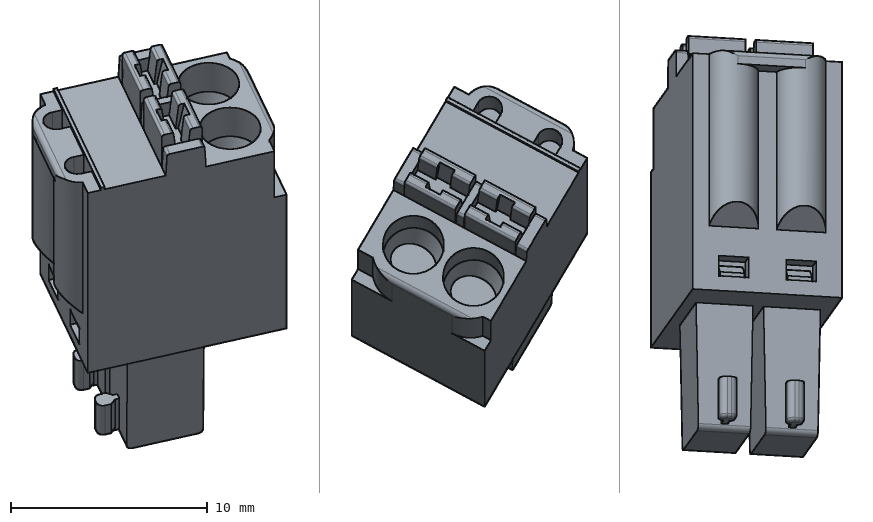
import cadquery as cq
import math


POLE_PITCH = 3.5
POLES = (-POLE_PITCH / 2, POLE_PITCH / 2)

BODY_WIDTH = 7.75
BODY_DEPTH = 10.63
BODY_HEIGHT = 12.5
EDGE_ROUND = 0.3

COVER_REACH = 1.05
BARREL_RADIUS = 1.3
BARREL_AXIS_Y = BARREL_RADIUS - COVER_REACH
BARREL_LOW_Z = 3.4
PLATE_THICKNESS = 0.74

SLOT_WIDTH = 1.3
SLOT_ARC_Y = 0.15
SLOT_DEPTH = 2.0
RIB_Y = 0.7
RIB_THICKNESS = 0.2
RIB_HEIGHT = 0.17

FUNNEL_SHIFT = -0.2
FUNNEL_DIAMETER = 3.1
FUNNEL_FROM_BACK = 2.26
FUNNEL_STRAIGHT_DEPTH = 2.0
FUNNEL_TAPER_DEPTH = 1.0
FUNNEL_END_X = 2.4
FUNNEL_END_Y = 1.93

NOTCH_DEPTH = 0.65
NOTCH_HEIGHT = 3.2
NOTCH_RADIUS = 1.95

RIDGE_FRONT_Y = 4.17
RIDGE_DEPTH = 2.15
RIDGE_HEIGHT = 1.44
RIDGE_TAPER = 0.07
LATCH_WIDTH = 2.95
LATCH_HEIGHT = 2.22
MIDDLE_WEB_WIDTH = 0.43
LATCH_OUTER_CLEARANCE = 0.03
RIDGE_ROUND = 0.15
TIP_ROUND = 0.15
GAP_FLOOR_Z = 0.6
GAP_FLOOR_WIDTH = 0.57
GAP_TOP_WIDTH = 0.9
GROOVE_LENGTH = 0.85
GROOVE_FLOOR_WIDTH = 0.85
GROOVE_TOP_WIDTH = 1.5

WINDOW_WIDTH = 1.54
WINDOW_LOW_Z = 0.78
WINDOW_HEIGHT = 1.07
WINDOW_DEPTH = 0.9
CONTACT_WIDTH = 1.26
CONTACT_SETBACK = 0.38
CONTACT_FACE_HEIGHT = 0.33
CONTACT_HEIGHT = 0.79

FOOT_HEIGHT = 6.69
FOOT_TOP_WIDTH = 2.95
FOOT_END_WIDTH = 2.7
FOOT_FRONT_Y = 2.33
FOOT_DEPTH = 4.1
FOOT_ROUND = 0.3

KEY_HEIGHT = 2.15
KEY_ABOVE_FOOT_END = 0.36
KEY_REACH = 1.21
KEY_WIDTH = 0.88
KEY_END_ROUND = 0.2
KEY_STEM_WIDTH = 0.34
KEY_STEM_REACH = 0.23
KEY_FLARE_REACH = 0.52
KEY_ROUND = 0.34


def box(x_middle, width, y_front, depth, z_low, height):
    """Box centred on x_middle in X, growing from y_front and z_low."""
    solid = cq.Workplane("XY").box(width, depth, height, centered=(True, False, False))
    return solid.translate((x_middle, y_front, z_low))


def side_profile(points, x_middle, width):
    """Closed (Y, Z) polygon extruded along X and centred on x_middle."""
    profile = cq.Workplane("YZ").polyline(points).close()
    return profile.extrude(width).translate((x_middle - width / 2, 0, 0))


def upright_cylinder(x, y, radius, z_low, height):
    return cq.Workplane("XY", origin=(x, y, z_low)).circle(radius).extrude(height)


def edge_rounding(y_edge, inward):
    """Waste along the top edge at y_edge; inward is the Y direction into the part."""
    waste = box(0, BODY_WIDTH, 0, EDGE_ROUND, BODY_HEIGHT - EDGE_ROUND, EDGE_ROUND)
    waste = waste.translate((0, y_edge if inward > 0 else y_edge - EDGE_ROUND, 0))
    axis = cq.Workplane("YZ", origin=(-BODY_WIDTH / 2, y_edge + inward * EDGE_ROUND, 0))
    return waste.cut(axis.center(0, BODY_HEIGHT - EDGE_ROUND).circle(EDGE_ROUND).extrude(BODY_WIDTH))


def barrel(x):
    """Half-round barrel whose lower end is cut back at 45 degrees to the front face."""
    height = BODY_HEIGHT - BARREL_LOW_Z
    solid = upright_cylinder(x, BARREL_AXIS_Y, BARREL_RADIUS, BARREL_LOW_Z, height)
    undercut = side_profile(
        [
            (0, BARREL_LOW_Z),
            (-COVER_REACH, BARREL_LOW_Z + COVER_REACH),
            (-COVER_REACH, BARREL_LOW_Z),
        ],
        x,
        2 * BARREL_RADIUS,
    )
    behind_face = box(x, 2 * BARREL_RADIUS, 0, 2 * BARREL_RADIUS, BARREL_LOW_Z, height)
    return solid.cut(undercut).cut(behind_face)


def cover():
    plate_z = BODY_HEIGHT - PLATE_THICKNESS
    solid = box(0, POLE_PITCH, -COVER_REACH, COVER_REACH, plate_z, PLATE_THICKNESS)
    for x in POLES:
        solid = solid.union(barrel(x))
    return solid.cut(edge_rounding(-COVER_REACH, 1))


def deck_slot(x):
    """Round-fronted slot ending at the rib."""
    z_low = BODY_HEIGHT - SLOT_DEPTH
    straight = box(x, SLOT_WIDTH, SLOT_ARC_Y, RIB_Y - SLOT_ARC_Y, z_low, SLOT_DEPTH)
    solid = straight.union(upright_cylinder(x, SLOT_ARC_Y, SLOT_WIDTH / 2, z_low, SLOT_DEPTH))
    return solid.cut(box(x, SLOT_WIDTH, RIB_Y, SLOT_WIDTH, z_low, SLOT_DEPTH))


def funnel(x):
    """Wire entry: a round bore that then narrows to an ellipse."""
    y = BODY_DEPTH - FUNNEL_FROM_BACK
    radius = FUNNEL_DIAMETER / 2
    taper_z = BODY_HEIGHT - FUNNEL_STRAIGHT_DEPTH
    bore = upright_cylinder(x, y, radius, taper_z, FUNNEL_STRAIGHT_DEPTH)
    taper = (
        cq.Workplane("XY", origin=(x, y, taper_z))
        .circle(radius)
        .workplane(offset=-FUNNEL_TAPER_DEPTH)
        .ellipse(FUNNEL_END_X / 2, FUNNEL_END_Y / 2)
        .loft(combine=True)
    )
    return bore.union(taper)


def back_notch(funnel_x, side):
    """Corner waste with a round inner wall; side is -1 for the -X corner and 1 for +X."""
    width = BODY_WIDTH / 2 - side * funnel_x
    z_low = BODY_HEIGHT - NOTCH_HEIGHT
    corner = box(
        funnel_x + side * width / 2, width, BODY_DEPTH - NOTCH_DEPTH, NOTCH_DEPTH, z_low, NOTCH_HEIGHT
    )
    return corner.cut(
        upright_cylinder(funnel_x, BODY_DEPTH - NOTCH_RADIUS, NOTCH_RADIUS, z_low, NOTCH_HEIGHT)
    )


def ridge():
    """Tapered cross ridge, opened for the latches except for a web between them."""
    back_y = RIDGE_FRONT_Y + RIDGE_DEPTH
    top_z = BODY_HEIGHT + RIDGE_HEIGHT
    solid = side_profile(
        [
            (RIDGE_FRONT_Y, BODY_HEIGHT),
            (RIDGE_FRONT_Y + RIDGE_TAPER, top_z),
            (back_y - RIDGE_TAPER, top_z),
            (back_y, BODY_HEIGHT),
        ],
        0,
        BODY_WIDTH,
    )
    solid = solid.faces(">Z").edges("|X").fillet(RIDGE_ROUND)
    opening_width = POLE_PITCH + LATCH_WIDTH + 2 * LATCH_OUTER_CLEARANCE
    opening = box(0, opening_width, RIDGE_FRONT_Y, RIDGE_DEPTH, BODY_HEIGHT, RIDGE_HEIGHT)
    web = box(0, MIDDLE_WEB_WIDTH, RIDGE_FRONT_Y, RIDGE_DEPTH, BODY_HEIGHT, RIDGE_HEIGHT)
    return solid.cut(opening.cut(web))


def latch_gap(x, length, floor_width, top_width):
    """Waste between the two prongs of a latch, opening upward."""
    middle_y = RIDGE_FRONT_Y + RIDGE_DEPTH / 2
    floor_z = BODY_HEIGHT + GAP_FLOOR_Z
    top_z = BODY_HEIGHT + LATCH_HEIGHT
    return side_profile(
        [
            (middle_y - floor_width / 2, floor_z),
            (middle_y - top_width / 2, top_z),
            (middle_y + top_width / 2, top_z),
            (middle_y + floor_width / 2, floor_z),
        ],
        x,
        length,
    )


def latch(x):
    """Two-pronged latch with round tips and a short groove across both inner faces."""
    solid = box(x, LATCH_WIDTH, RIDGE_FRONT_Y, RIDGE_DEPTH, BODY_HEIGHT, LATCH_HEIGHT)
    solid = solid.cut(latch_gap(x, LATCH_WIDTH, GAP_FLOOR_WIDTH, GAP_TOP_WIDTH))
    solid = solid.faces(">Z").edges("|X").fillet(TIP_ROUND)
    return solid.cut(latch_gap(x, GROOVE_LENGTH, GROOVE_FLOOR_WIDTH, GROOVE_TOP_WIDTH))


def contact(x):
    """Block in the window whose top slopes up at 45 degrees toward the back."""
    slope_rise = CONTACT_HEIGHT - CONTACT_FACE_HEIGHT
    return side_profile(
        [
            (CONTACT_SETBACK, WINDOW_LOW_Z),
            (CONTACT_SETBACK, WINDOW_LOW_Z + CONTACT_FACE_HEIGHT),
            (CONTACT_SETBACK + slope_rise, WINDOW_LOW_Z + CONTACT_HEIGHT),
            (WINDOW_DEPTH, WINDOW_LOW_Z + CONTACT_HEIGHT),
            (WINDOW_DEPTH, WINDOW_LOW_Z),
        ],
        x,
        CONTACT_WIDTH,
    )


def test_window(x):
    opening = box(x, WINDOW_WIDTH, 0, WINDOW_DEPTH, WINDOW_LOW_Z, WINDOW_HEIGHT)
    return opening.cut(contact(x))


def foot(x):
    solid = (
        cq.Workplane("XZ", origin=(x, FOOT_FRONT_Y, 0))
        .polyline(
            [
                (-FOOT_TOP_WIDTH / 2, 0),
                (FOOT_TOP_WIDTH / 2, 0),
                (FOOT_END_WIDTH / 2, -FOOT_HEIGHT),
                (-FOOT_END_WIDTH / 2, -FOOT_HEIGHT),
            ]
        )
        .close()
        .extrude(-FOOT_DEPTH)
    )
    return solid.faces("<Z").edges("|X").fillet(FOOT_ROUND)


def key(x):
    """Coding key: narrow stem flaring into a head with round front corners."""
    stem = KEY_STEM_WIDTH / 2
    half = KEY_WIDTH / 2
    flat = half - KEY_ROUND
    side_reach = KEY_REACH - KEY_ROUND
    bend = KEY_ROUND * math.sqrt(0.5)
    solid = (
        cq.Workplane("XY", origin=(x, FOOT_FRONT_Y, KEY_ABOVE_FOOT_END - FOOT_HEIGHT))
        .moveTo(-stem, 0)
        .lineTo(-stem, -KEY_STEM_REACH)
        .lineTo(-half, -KEY_FLARE_REACH)
        .lineTo(-half, -side_reach)
        .threePointArc((-flat - bend, -side_reach - bend), (-flat, -KEY_REACH))
        .lineTo(flat, -KEY_REACH)
        .threePointArc((flat + bend, -side_reach - bend), (half, -side_reach))
        .lineTo(half, -KEY_FLARE_REACH)
        .lineTo(stem, -KEY_STEM_REACH)
        .lineTo(stem, 0)
        .close()
        .extrude(KEY_HEIGHT)
    )
    head = cq.selectors.BoxSelector(
        (x - KEY_WIDTH, FOOT_FRONT_Y - 2 * KEY_REACH, -FOOT_HEIGHT),
        (x + KEY_WIDTH, FOOT_FRONT_Y - KEY_STEM_REACH, 0),
    )
    return solid.faces("<Z").edges(head).fillet(KEY_END_ROUND)


def housing():
    solid = box(0, BODY_WIDTH, 0, BODY_DEPTH, 0, BODY_HEIGHT)
    solid = solid.union(cover())
    solid = solid.cut(edge_rounding(BODY_DEPTH, -1))
    for x, side in zip(POLES, (-1, 1)):
        funnel_x = x + FUNNEL_SHIFT
        solid = solid.cut(back_notch(funnel_x, side))
        solid = solid.cut(funnel(funnel_x))
        solid = solid.cut(deck_slot(x))
        solid = solid.cut(test_window(x))
    return solid.union(box(0, BODY_WIDTH, RIB_Y, RIB_THICKNESS, BODY_HEIGHT, RIB_HEIGHT))


result = housing().union(ridge())
for pole_x in POLES:
    result = result.union(latch(pole_x))
    result = result.union(foot(pole_x))
    result = result.union(key(pole_x))